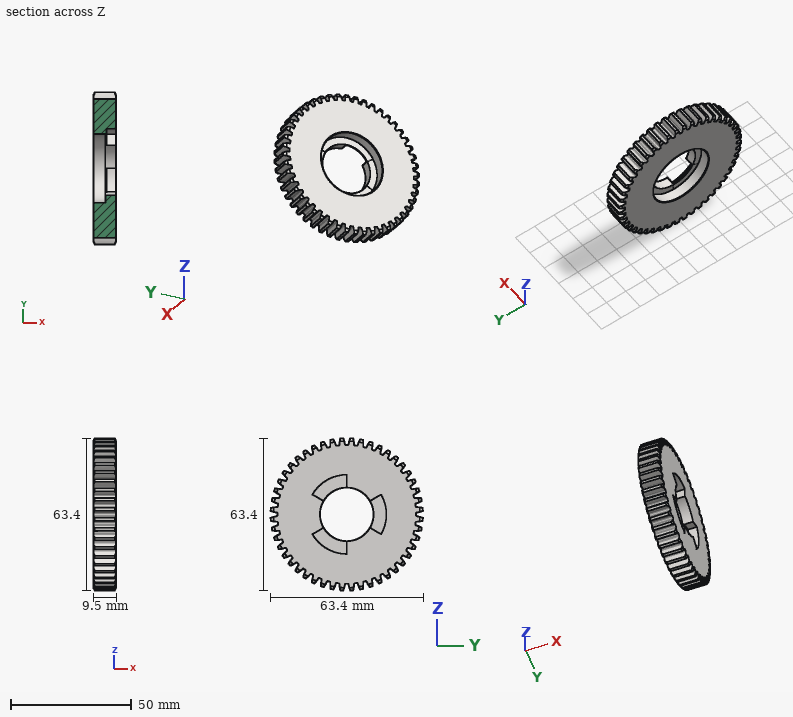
import cadquery as cq
import math

outer_size = 63.4
tooth_count = 48
tooth_pitch = 2 * math.pi / tooth_count
pressure_angle = math.radians(14.5)
addendum_factor = 1.0
dedendum_factor = 1.25


def involute(angle):
    return math.tan(angle) - angle


tip_ratio = 1 + 2 * addendum_factor / tooth_count
tip_roll = math.acos(math.cos(pressure_angle) / tip_ratio)
tip_half_gap = tooth_pitch / 4 - involute(pressure_angle) + involute(tip_roll)
tip_radius = outer_size / 2 / math.cos(tip_half_gap)
pitch_radius = tip_radius / tip_ratio
module = 2 * pitch_radius / tooth_count
base_radius = pitch_radius * math.cos(pressure_angle)
root_radius = pitch_radius - dedendum_factor * module
root_gap_width = 1.3
root_fillet = 0.25
involute_start_radius = pitch_radius - module / 2
flank_end_radius = tip_radius + module / 2
flank_steps = 4

face_width = 9.5
tip_chamfer_width = 0.65
tip_chamfer_height = 1.3

bore_radius = 11.1
seat_radius = 14.3
seat_depth = 5.0
seat_chamfer = 0.25

lug_count = 3
slot_span = 60.0
slot_start = -30.0
slot_depth = 4.0
slot_radius = 16.5


def polar(radius, angle):
    return (radius * math.cos(angle), radius * math.sin(angle))


def flank_angle(radius):
    """Angle from the gap centre line to the involute flank."""
    roll = math.acos(base_radius / radius)
    return tooth_pitch / 4 - involute(pressure_angle) + involute(roll)


def gap_cutter():
    """Space between two teeth, centred on angle zero and flaring smoothly out of its root."""
    flank_step = (flank_end_radius - involute_start_radius) / flank_steps
    radii = [involute_start_radius + i * flank_step for i in range(flank_steps + 1)]
    root_angle = math.asin(root_gap_width / 2 / root_radius)
    left = [polar(root_radius, root_angle)] + [polar(r, flank_angle(r)) for r in radii]
    right = [(y, -z) for y, z in left]
    root_corners = cq.selectors.BoxSelector(
        (-face_width, 0, -module),
        (face_width, pitch_radius, module),
    )
    return (
        cq.Workplane("YZ", origin=(-face_width / 2, 0, 0))
        .moveTo(*right[0])
        .spline(right[1:], includeCurrent=True)
        .lineTo(*left[-1])
        .spline(left[-2::-1], includeCurrent=True)
        .threePointArc((root_radius, 0), right[0])
        .close()
        .extrude(face_width)
        .edges("|X")
        .edges(root_corners)
        .fillet(root_fillet)
    )


def rim_blank():
    """Solid disc whose rim is bevelled on both sides."""
    half_width = face_width / 2
    shoulder = half_width - tip_chamfer_width
    bevel_radius = tip_radius - tip_chamfer_height
    return (
        cq.Workplane("XY")
        .polyline([
            (-half_width, 0),
            (-half_width, bevel_radius),
            (-shoulder, tip_radius),
            (shoulder, tip_radius),
            (half_width, bevel_radius),
            (half_width, 0),
        ])
        .close()
        .revolve(360, (0, 0, 0), (1, 0, 0))
    )


def bearing_bore():
    """Through bore with the chamfered bearing seat."""
    left = -face_width / 2
    return (
        cq.Workplane("XY")
        .polyline([
            (left, 0),
            (left, seat_radius + seat_chamfer),
            (left + seat_chamfer, seat_radius),
            (left + seat_depth, seat_radius),
            (left + seat_depth, bore_radius),
            (-left, bore_radius),
            (-left, 0),
        ])
        .close()
        .revolve(360, (0, 0, 0), (1, 0, 0))
    )


def lug_slot():
    """Sector-shaped slot sunk into the +X face, opening into the bore."""
    start = math.radians(slot_start)
    end = start + math.radians(slot_span)
    return (
        cq.Workplane("YZ", origin=(face_width / 2 - slot_depth, 0, 0))
        .lineTo(*polar(slot_radius, start))
        .threePointArc(polar(slot_radius, (start + end) / 2), polar(slot_radius, end))
        .close()
        .extrude(slot_depth)
    )


def ring_of(cutter, count):
    """Copies of a cutter spaced evenly around the gear axis."""
    solid = cutter.val()
    return cq.Compound.makeCompound(
        [solid.rotate(cq.Vector(), cq.Vector(1, 0, 0), i * 360 / count) for i in range(count)])


result = (
    rim_blank()
    .cut(bearing_bore())
    .cut(cq.Workplane(ring_of(lug_slot(), lug_count)))
    .cut(cq.Workplane(ring_of(gap_cutter(), tooth_count)))
)